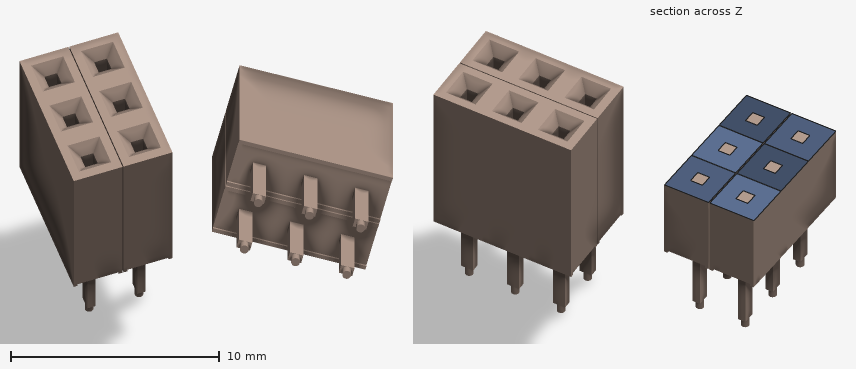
import cadquery as cq

COLUMNS = 3
ROWS = 2
PITCH = 2.54

BLOCK_LENGTH = PITCH
ROW_GAP = 0.05
BLOCK_WIDTH = PITCH - ROW_GAP
TOTAL_HEIGHT = 12.4

SHANK_WIDTH = 0.67
TIP_DIAMETER = 0.42
SHANK_THICKNESS = TIP_DIAMETER
SHANK_LENGTH = 3.4
TIP_LENGTH = 0.5
BLOCK_BOTTOM = TIP_LENGTH + SHANK_LENGTH
BLOCK_HEIGHT = TOTAL_HEIGHT - BLOCK_BOTTOM

FOOT_WIDTH = 0.2
FOOT_HEIGHT = 0.12
CHANNEL_WIDTH = BLOCK_WIDTH - 2 * FOOT_WIDTH
CHANNEL_TOP = BLOCK_BOTTOM + FOOT_HEIGHT

FUNNEL_SIZE = 1.64
HOLE_SIZE = 0.65
FUNNEL_DEPTH = (FUNNEL_SIZE - HOLE_SIZE) / 2
SOCKET_DEPTH = BLOCK_HEIGHT / 2


def make_block():
    """Block with the channel cut along X through its underside."""
    block = (
        cq.Workplane("XY")
        .workplane(offset=BLOCK_BOTTOM)
        .rect(BLOCK_LENGTH, BLOCK_WIDTH)
        .extrude(BLOCK_HEIGHT)
    )
    channel = (
        cq.Workplane("XY")
        .workplane(offset=BLOCK_BOTTOM)
        .rect(BLOCK_LENGTH, CHANNEL_WIDTH)
        .extrude(FOOT_HEIGHT)
    )
    return block.cut(channel)


def make_socket():
    """Volume removed from the top of the block to receive a mating pin."""
    funnel = (
        cq.Workplane("XY")
        .workplane(offset=TOTAL_HEIGHT)
        .rect(FUNNEL_SIZE, FUNNEL_SIZE)
        .workplane(offset=-FUNNEL_DEPTH)
        .rect(HOLE_SIZE, HOLE_SIZE)
        .loft(ruled=True)
    )
    hole = (
        cq.Workplane("XY")
        .workplane(offset=TOTAL_HEIGHT - SOCKET_DEPTH)
        .rect(HOLE_SIZE, HOLE_SIZE)
        .extrude(SOCKET_DEPTH - FUNNEL_DEPTH)
    )
    return funnel.union(hole)


def make_pin():
    """Round tip with the flat shank above it, reaching the channel roof."""
    tip = cq.Workplane("XY").circle(TIP_DIAMETER / 2).extrude(TIP_LENGTH)
    shank = (
        cq.Workplane("XY")
        .workplane(offset=TIP_LENGTH)
        .rect(SHANK_WIDTH, SHANK_THICKNESS)
        .extrude(CHANNEL_TOP - TIP_LENGTH)
    )
    return tip.union(shank)


def make_contact_cell():
    """One body: a block with its socket and the pin that grows out of it."""
    return make_block().cut(make_socket()).union(make_pin())


def place_cells():
    """One separate cell at each grid position, the grid centred on the Z axis."""
    cell = make_contact_cell().solids().val()
    cells = []
    for column in range(COLUMNS):
        for row in range(ROWS):
            x = (column - (COLUMNS - 1) / 2) * PITCH
            y = (row - (ROWS - 1) / 2) * PITCH
            cells.append(cell.moved(cq.Location(cq.Vector(x, y, 0))))
    return cells


contact_cells = place_cells()

result = cq.Compound.makeCompound([*contact_cells])